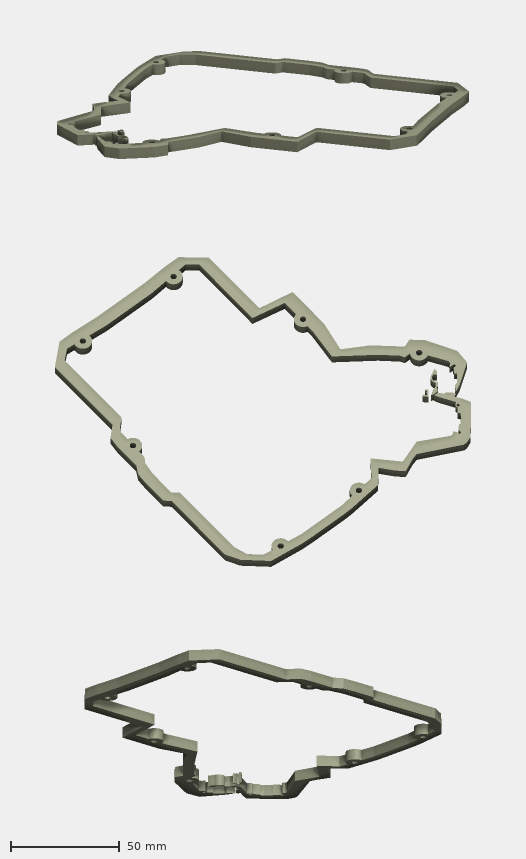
import cadquery as cq
import math

LENGTH = 162.8
DEPTH = 156.1
THICKNESS = 5.0
RIGHT = LENGTH / 2
LEFT = -RIGHT
BACK = DEPTH / 2
FRONT = -BACK

HOLE_D = 3.0
BOSS_D = 8.5
LEFT_BOSS_X = -69.3
RIGHT_BOSS_X = 74.7
BOSS_CENTRES = [
    (LEFT_BOSS_X, 52.5),
    (LEFT_BOSS_X, 5.5),
    (16.3, 69.3),
    (RIGHT_BOSS_X, 50.3),
    (RIGHT_BOSS_X, -4.2),
    (18.5, -34.8),
    (-29.8, -64.0),
]

SLOT_WIDTH = 1.3
SLOT_LENGTH = 2.6
SLOTS = [
    ((-74.2, -50.1), SLOT_LENGTH, SLOT_WIDTH),
    ((-63.2, -59.3), SLOT_WIDTH, SLOT_WIDTH),
    ((-45.5, -71.0), SLOT_WIDTH, SLOT_LENGTH),
]

BACK_OUTER_Y = 75.2
BACK_INNER_Y = 69.3
STEP_OUTER_Y = 69.3
STEP_INNER_Y = 63.5
SHELF_OUTER_Y = -23.3
SHELF_INNER_Y = -17.4
LEFT_OUTER_X = -74.9
LEFT_INNER_X = -70.5
RIGHT_OUTER_X = 80.5
RIGHT_INNER_X = 74.2
ARM_END_X = -52.0

ARM_OUTER = [(-58.0, -62.3), (-58.5, -60.9), (-61.9, -63.2), (-63.7, -64.0), (-65.8, -65.0)]
LEFT_ZIGZAG_OUTER = [
    (-80.1, -52.5), (LEFT, -49.2), (LEFT, -47.5), (-71.3, -27.5), (-72.1, -24.5),
    (-75.2, -17.5), (-71.5, -13.8), (-65.8, -9.3),
]
LEFT_WALL_OUTER = [
    (-72.8, -3.1), (-74.7, 14.7), (LEFT_OUTER_X, 20.0), (LEFT_OUTER_X, 38.1),
    (-74.7, 44.0), (-72.8, 61.2),
]
BACK_WALL_OUTER = [
    (-63.2, 71.6), (-56.3, BACK_OUTER_Y), (-18.2, BACK_OUTER_Y), (-15.6, BACK), (-3.5, BACK),
    (2.8, 77.7), (7.0, BACK_OUTER_Y), (20.7, BACK_OUTER_Y), (26.2, 74.5),
    (31.0, STEP_OUTER_Y), (72.1, STEP_OUTER_Y),
]
RIGHT_WALL_OUTER = [
    (RIGHT, 58.8), (RIGHT, 50.8), (RIGHT_OUTER_X, 37.5), (RIGHT_OUTER_X, 8.6),
    (RIGHT, -4.7), (RIGHT, -12.7),
]
FRONT_WALL_OUTER = [
    (72.1, SHELF_OUTER_Y), (36.1, SHELF_OUTER_Y), (33.0, -40.7), (10.4, -40.7), (-5.0, -37.5),
    (-12.2, -49.3), (-23.0, -61.0),
]
TAIL_OUTER = [
    (-21.5, -65.1), (-26.0, -70.3), (-40.4, FRONT), (-48.0, -77.5), (-55.0, -67.2), (-57.1, -62.8),
]

TAIL_INNER = [
    (-53.9, -65.3), (-53.5, -66.7), (-49.7, -70.2), (-48.7, -69.0), (-46.7, -70.7),
    (-44.5, -69.8), (-43.3, -71.3), (-42.0, -71.3), (-33.2, -66.0),
]
FRONT_WALL_INNER = [
    (-27.3, -61.0), (-27.5, -57.3), (-25.4, -56.2), (-18.5, -48.8), (-5.5, -31.9),
    (10.9, -34.0), (30.8, -34.0), (34.0, SHELF_INNER_Y), (72.1, SHELF_INNER_Y),
]
RIGHT_WALL_INNER = [(76.2, -12.7), (RIGHT_INNER_X, 9.3), (RIGHT_INNER_X, 36.5), (76.2, 58.6)]
BACK_WALL_INNER = [
    (72.1, STEP_INNER_Y), (31.4, STEP_INNER_Y), (27.5, 67.7), (26.0, 68.9), (8.0, BACK_INNER_Y),
    (5.5, 71.1), (-1.3, 72.3), (-14.7, 72.3), (-17.1, BACK_INNER_Y), (-55.8, BACK_INNER_Y),
    (-62.8, 67.2),
]
LEFT_WALL_INNER = [(-67.9, 61.5), (LEFT_INNER_X, 41.0), (LEFT_INNER_X, 17.0), (-67.9, -3.3)]
LEFT_ZIGZAG_INNER = [
    (-59.4, -9.8), (-70.3, -20.0), (-66.1, -31.9), (-73.7, -45.9), (-73.7, -47.0),
    (-72.8, -48.2), (-73.9, -49.5), (-73.4, -51.0), (-71.3, -52.9), (-71.8, -53.4),
]
ARM_INNER = [
    (-69.0, -56.2), (-67.0, -57.3), (-66.4, -56.3), (-63.8, -58.5),
    (-63.2, -58.0), (-62.5, -58.3), (-61.2, -59.5),
    (-54.4, -55.5), (ARM_END_X, -54.4), (ARM_END_X, -56.5), (-54.5, -58.6), (-54.0, -59.3),
    (-56.8, -62.2),
]

BOW_CENTRE = (-45.4, -61.5)
BOW_OUTER_R = 6.0 / 2
BOW_INNER_R = 2.3
BOW_START = 130
BOW_END = 10
CURL_ROOT_OUTER = [(-51.5, -54.2), (-51.0, -53.2), (-50.5, -54.2), (-49.3, -55.8), (-48.8, -57.6)]
CURL_TIP = [
    (-41.5, -62.7), (-41.0, -64.0), (-42.0, -63.5), (-42.3, -64.0), (-44.5, -62.5), (-43.6, -62.0),
]
CURL_ROOT_INNER = [(-47.5, -60.2), (-49.3, -58.8), (-49.5, -57.8), (-50.8, -57.6), (-51.5, -56.5)]

FORK_OUTLINE = [
    (-48.8, -49.8), (-48.3, -50.8), (-49.8, -51.8), (-48.8, -52.7), (-48.3, -52.5),
    (-48.0, -53.4), (-47.4, -52.7), (-46.9, -53.2), (-47.9, -54.2), (-49.0, -53.4), (-51.0, -51.8),
]


def base_plane():
    """Workplane on the underside shared by all bodies."""
    return cq.Workplane("XY").workplane(offset=-THICKNESS / 2)


def make_frame():
    """Open loop of wall with bosses, screw holes and end slots."""
    outer_edge = (
        ARM_OUTER + LEFT_ZIGZAG_OUTER + LEFT_WALL_OUTER + BACK_WALL_OUTER
        + RIGHT_WALL_OUTER + FRONT_WALL_OUTER + TAIL_OUTER
    )
    inner_edge = (
        TAIL_INNER + FRONT_WALL_INNER + RIGHT_WALL_INNER + BACK_WALL_INNER
        + LEFT_WALL_INNER + LEFT_ZIGZAG_INNER + ARM_INNER
    )
    frame = base_plane().polyline(outer_edge + inner_edge).close().extrude(THICKNESS)
    bosses = base_plane().pushPoints(BOSS_CENTRES).circle(BOSS_D / 2).extrude(THICKNESS)
    holes = base_plane().pushPoints(BOSS_CENTRES).circle(HOLE_D / 2).extrude(THICKNESS)
    frame = frame.union(bosses).cut(holes)
    for centre, size_x, size_y in SLOTS:
        slot = base_plane().center(*centre).rect(size_x, size_y).extrude(THICKNESS)
        frame = frame.cut(slot)
    return frame


def bow_point(radius, degrees):
    """Point on a bow arc at the given angle from +X."""
    angle = math.radians(degrees)
    return (
        BOW_CENTRE[0] + radius * math.cos(angle),
        BOW_CENTRE[1] + radius * math.sin(angle),
    )


def make_curl():
    """Loose curl beside the end of the arm."""
    bow_middle = (BOW_START + BOW_END) / 2
    return (
        base_plane()
        .polyline(CURL_ROOT_OUTER + [bow_point(BOW_OUTER_R, BOW_START)])
        .threePointArc(bow_point(BOW_OUTER_R, bow_middle), bow_point(BOW_OUTER_R, BOW_END))
        .polyline(CURL_TIP + [bow_point(BOW_INNER_R, BOW_END)], includeCurrent=True)
        .threePointArc(bow_point(BOW_INNER_R, bow_middle), bow_point(BOW_INNER_R, BOW_START))
        .polyline(CURL_ROOT_INNER, includeCurrent=True)
        .close()
        .extrude(THICKNESS)
    )


def make_fork():
    """Loose pronged piece behind the curl."""
    return base_plane().polyline(FORK_OUTLINE).close().extrude(THICKNESS)


frame = make_frame()
curl = make_curl()
fork = make_fork()

result = cq.Compound.makeCompound([frame.val(), curl.val(), fork.val()])